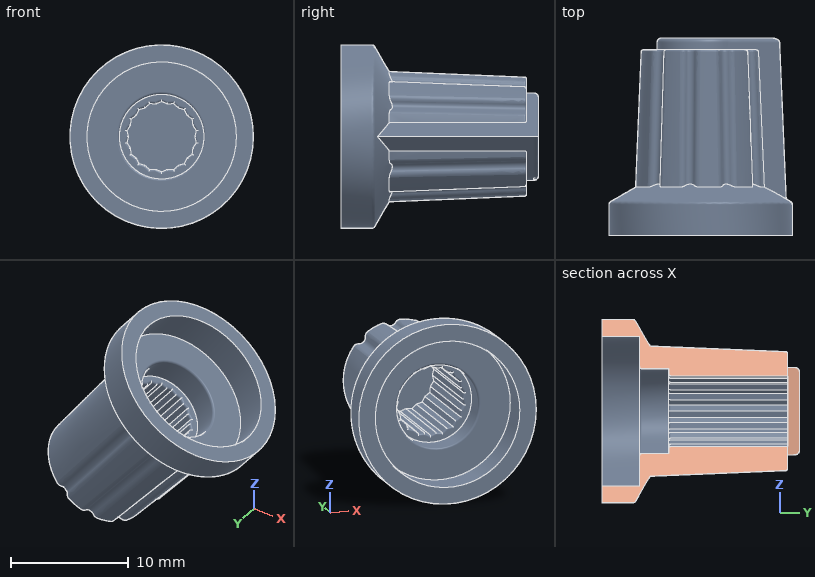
import cadquery as cq
import math


knob_length = 16.8
skirt_diameter = 15.6
skirt_radius = skirt_diameter / 2
draft_angle = 2.4
draft_slope = math.tan(math.radians(draft_angle))

skirt_height = 2.8
skirt_cone_angle = 30.0
cone_inner_radius = 4.03
skirt_edge_radius = 0.34

cap_height = 1.0
grip_end = knob_length - cap_height
grip_end_radius = 5.05
grip_edge_radius = 0.2

flutes_per_side = 4
first_flute_angle = 30.0
flute_pitch_angle = 35.0
flute_radius = 0.5
flute_axis_lift = 0.07
flute_lip_radius = 0.5

pocket_radius = 6.35
pocket_depth = 3.2
bore_radius = 3.6
bore_depth = 5.66
selection_margin = 0.02
mouth_radius = 0.2

spline_teeth = 18
spline_root_radius = 2.99
spline_tip_radius = 2.82

cap_radius = 3.73
cap_edge_radius = 0.42
pointer_half_angle = 33.5
pointer_end_reach = 6.7
pointer_back = 2.02


def grip_radius_at(y):
    """Grip radius before fluting, growing towards the skirt."""
    return grip_end_radius + (grip_end - y) * draft_slope


def along_y(radius, start, end):
    """Cylinder about the Y axis from one Y to another."""
    return cq.Workplane("XZ", origin=(0, start, 0)).circle(radius).extrude(start - end)


def make_skirt():
    """Skirt whose cone runs on under the grip, so that it also closes the lower ends of the flutes."""
    cone_rise = (skirt_radius - cone_inner_radius) * math.tan(math.radians(skirt_cone_angle))
    cone_top = skirt_height + cone_rise
    profile = [
        (0, 0),
        (skirt_radius, 0),
        (skirt_radius, skirt_height),
        (cone_inner_radius, cone_top),
        (0, cone_top),
    ]
    skirt = cq.Workplane("XY").polyline(profile).close().revolve(360, (0, 0), (0, 1))
    rim_centre = (0, skirt_height, 0)
    return skirt.edges(cq.selectors.NearestToPointSelector(rim_centre)).fillet(skirt_edge_radius)


def make_flute_cutter(angle):
    """Rod that lies parallel to the tapered grip surface at the given angle from +X."""
    bottom = -flute_radius
    top = knob_length
    lower = cq.Vector(grip_radius_at(bottom) + flute_axis_lift, bottom, 0)
    upper = cq.Vector(grip_radius_at(top) + flute_axis_lift, top, 0)
    axis = upper - lower
    rod = cq.Solid.makeCylinder(flute_radius, axis.Length, lower, axis)
    return rod.rotate(cq.Vector(0, 0, 0), cq.Vector(0, 1, 0), -angle)


def make_grip():
    """Tapered barrel with rounded flutes on both sides of the pointer."""
    profile = [(0, 0), (grip_radius_at(0), 0), (grip_end_radius, grip_end), (0, grip_end)]
    grip = cq.Workplane("XY").polyline(profile).close().revolve(360, (0, 0), (0, 1))
    for index in range(flutes_per_side):
        angle = first_flute_angle + index * flute_pitch_angle
        for side in (1, -1):
            grip = grip.cut(cq.Workplane(make_flute_cutter(side * angle)))
    grip = grip.edges("%BSPLINE").fillet(flute_lip_radius)
    return grip.faces(">Y").edges().fillet(grip_edge_radius)


def make_splined_hole():
    """Cutter with straight-sided teeth, from the floor of the bore to the underside of the cap."""
    points = []
    for index in range(2 * spline_teeth):
        radius = spline_root_radius if index % 2 == 0 else spline_tip_radius
        angle = math.pi / 2 + index * math.pi / spline_teeth
        points.append((radius * math.cos(angle), radius * math.sin(angle)))
    return (
        cq.Workplane("XZ", origin=(0, bore_depth, 0))
        .polyline(points)
        .close()
        .extrude(bore_depth - grip_end)
    )


def edges_within(radius, y):
    """Selects the edges that lie at this Y and no farther than this radius from the Y axis."""
    reach = radius + selection_margin
    return cq.selectors.BoxSelector(
        (-reach, y - selection_margin, -reach),
        (reach, y + selection_margin, reach),
        boundingbox=True,
    )


def make_knob(blank):
    """Solid knob shape with the stepped and splined hole cut into it."""
    body = blank.cut(along_y(pocket_radius, 0, pocket_depth))
    body = body.cut(along_y(bore_radius, pocket_depth, bore_depth))
    body = body.cut(make_splined_hole())
    body = body.edges(edges_within(bore_radius, pocket_depth)).fillet(mouth_radius)
    return body.edges(edges_within(spline_root_radius, bore_depth)).fillet(mouth_radius)


def make_pointer_wedge():
    """Sharp wedge towards +X that widens with the draft from the far end down to the skirt."""

    def section(y):
        reach = pointer_end_reach + (knob_length - y) * draft_slope
        half_width = (reach - pointer_back) * math.tan(math.radians(pointer_half_angle))
        corners = [(pointer_back, y, -half_width), (reach, y, 0), (pointer_back, y, half_width)]
        return cq.Wire.makePolygon([cq.Vector(*corner) for corner in corners], close=True)

    wedge = cq.Workplane(cq.Solid.makeLoft([section(skirt_height), section(knob_length)], True))
    flank_edges = wedge.faces(">Y").edges("not |Z")
    return flank_edges.fillet(cap_edge_radius)


def make_pointer_cap(blank):
    """Disc and wedge in one piece, trimmed where the wedge meets the grip and the skirt cone."""
    disc = along_y(cap_radius, grip_end, knob_length).faces(">Y").edges().fillet(cap_edge_radius)
    return disc.union(make_pointer_wedge()).cut(blank)


knob_blank = make_skirt().union(make_grip())
knob = make_knob(knob_blank)
pointer_cap = make_pointer_cap(knob_blank)

result = cq.Compound.makeCompound([knob.solids().val(), pointer_cap.solids().val()])